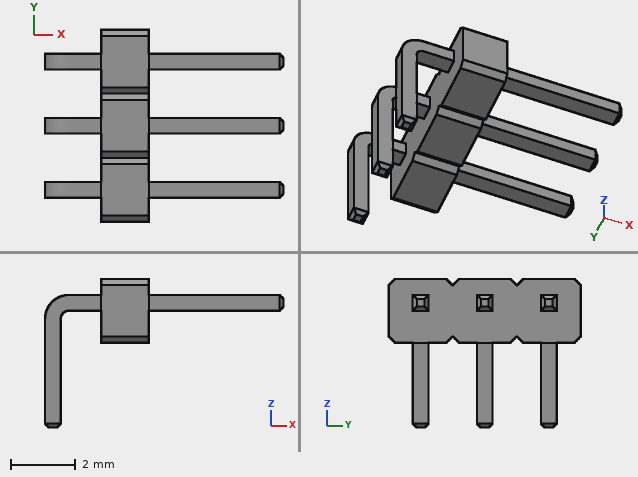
import cadquery as cq

pin_count = 3
body_length = 6.0
pitch = body_length / pin_count
pin_size = 0.5
pin_length_x = 7.45
total_height = 4.65

body_width = 1.5
body_height = pitch
body_chamfer = 0.2
body_start_x = 1.75

bend_outer_radius = 0.75
bend_inner_radius = bend_outer_radius - pin_size
tip_chamfer = 0.13
pin_depth_in_body = 0.5

body_center_z = total_height - body_height / 2
pin_top_z = total_height - pin_depth_in_body


def housing_block(y):
    """Block around one pin, with its four edges along X chamfered."""
    return (
        cq.Workplane("XY")
        .box(body_width, pitch, body_height)
        .edges("|X")
        .chamfer(body_chamfer)
        .translate((body_start_x + body_width / 2, y, body_center_z))
    )


def bent_pin(y):
    """Right-angle square pin with tapered ends."""
    pin = (
        cq.Workplane("XZ")
        .moveTo(0, 0)
        .lineTo(0, pin_top_z)
        .lineTo(pin_length_x, pin_top_z)
        .lineTo(pin_length_x, pin_top_z - pin_size)
        .lineTo(pin_size, pin_top_z - pin_size)
        .lineTo(pin_size, 0)
        .close()
        .extrude(pin_size / 2, both=True)
    )
    outer_corner = (0, 0, pin_top_z)
    pin = pin.edges(cq.selectors.NearestToPointSelector(outer_corner)).fillet(bend_outer_radius)
    inner_corner = (pin_size, 0, pin_top_z - pin_size)
    pin = pin.edges(cq.selectors.NearestToPointSelector(inner_corner)).fillet(bend_inner_radius)
    pin = pin.faces(">X").chamfer(tip_chamfer)
    pin = pin.faces("<Z").chamfer(tip_chamfer)
    return pin.translate((0, y, 0))


result = cq.Workplane("XY")
for index in range(pin_count):
    pin_y = (index - (pin_count - 1) / 2) * pitch
    result = result.union(housing_block(pin_y)).union(bent_pin(pin_y))